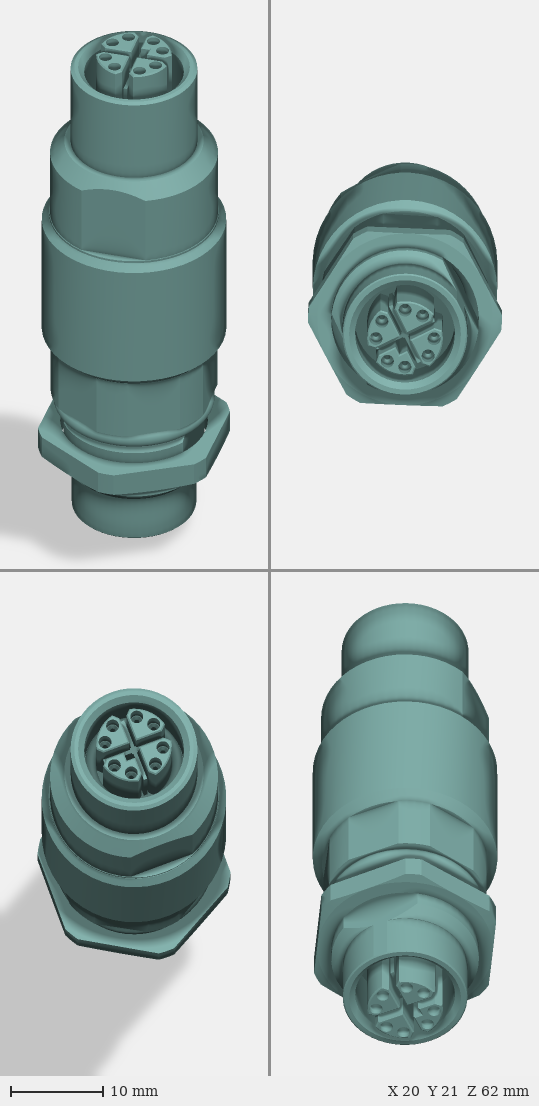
import cadquery as cq
import math

total_length = 61.99
lower_protrusion = 1.95
upper_protrusion = 1.71

upper_shell_radius = 6.87
upper_shell_base_z = 50.4
upper_shell_top_z = total_length - upper_protrusion
rim_chamfer_width = 0.4
rim_chamfer_height = 0.2

neck_radius = 9.1
collar_radius = 9.2
neck_chamfer = 1.55
wrench_flat_offset = 8.36
wrench_flat_bottom_z = 40.9

sleeve_radius = 10.0
sleeve_bottom_z = 24.4
sleeve_top_z = 40.65
sleeve_bottom_chamfer = 1.0
sleeve_top_chamfer = 0.75

hexagon_across_flats = 17.1
hexagon_corner_radius = 9.04
hexagon_bottom_z = 17.27

lower_shell_radius = 6.75
thread_radius = 8.0
thread_bottom_z = 8.52
thread_bottom_chamfer = 1.2
thread_top_z = 15.12
thread_top_chamfer = 0.8
lower_rim_chamfer = 0.15
keying_flat_offset = 6.7

socket_radius = 5.4
socket_depth = 7.0
socket_chamfer = 0.65

block_radius = 4.1
block_half_width = 2.1
block_gap = 0.8
block_chamfer = 0.15
key_notch_corner = 1.35
contact_radius = 0.3
contact_depth = 5.0
contact_mouth_radius = 0.7
contact_mouth_depth = 2.0
contact_cone_radius = 0.6
contact_near = 1.4
contact_far = 2.82
shield_thickness = 0.4
shield_reach = 3.5
shield_post = 0.7
shield_setback = 0.5

nut_across_flats = 19.0
nut_corner_radius = 10.5
nut_bottom_z = 10.2
nut_top_z = 13.0
nut_turn = -1.3
nut_chamfer_width = 1.0
nut_chamfer_height = 0.2

outer_ring_section = 1.0
inner_ring_section = 0.6


def cylinder(radius, bottom_z, top_z):
    return cq.Workplane("XY", origin=(0, 0, bottom_z)).circle(radius).extrude(top_z - bottom_z)


def cone(bottom_radius, top_radius, bottom_z, top_z):
    return (
        cq.Workplane("XY", origin=(0, 0, bottom_z))
        .circle(bottom_radius)
        .workplane(offset=top_z - bottom_z)
        .circle(top_radius)
        .loft()
    )


def hexagon(across_flats, corner_radius, bottom_z, top_z):
    """Hexagonal prism with flats facing +X and -X and its corners turned round."""
    prism = (
        cq.Workplane("XY", origin=(0, 0, bottom_z))
        .polygon(6, across_flats / math.cos(math.pi / 6))
        .extrude(top_z - bottom_z)
        .rotate((0, 0, 0), (0, 0, 1), 30)
    )
    return prism.intersect(cylinder(corner_radius, bottom_z, top_z))


def between_flats(offset, axis, bottom_z, top_z):
    """Slab that leaves two parallel flats at +/- offset along the named axis."""
    wide = 4 * sleeve_radius
    size = (2 * offset, wide) if axis == "X" else (wide, 2 * offset)
    return cq.Workplane("XY", origin=(0, 0, bottom_z)).rect(*size).extrude(top_z - bottom_z)


def upside_down(shape):
    """Turn a shape over about X, so that -Z becomes +Z."""
    return shape.rotate((0, 0, 0), (1, 0, 0), 180)


def sealing_ring(section_radius, centre_radius, centre_z):
    section = cq.Workplane("XZ").center(centre_radius, centre_z).circle(section_radius)
    return section.revolve(360, (-centre_radius, 0, 0), (-centre_radius, 1, 0))


def contact_block(base_z, top_z, keyed):
    """One insert block, in the +X +Y quadrant, with two contact holes in its top."""
    height = top_z - base_z
    plane = cq.Workplane("XY", origin=(0, 0, base_z))
    inner = block_gap / 2
    quadrant = plane.rect(block_radius, block_radius, centered=False).extrude(height)
    quadrant = quadrant.translate((inner, inner, 0))
    diagonal_band = (
        plane.rect(4 * block_radius, 2 * block_half_width)
        .extrude(height)
        .rotate((0, 0, 0), (0, 0, 1), 45)
    )
    block = cylinder(block_radius, base_z, top_z).intersect(quadrant).intersect(diagonal_band)
    if keyed:
        block = block.cut(plane.rect(2 * key_notch_corner, 2 * key_notch_corner).extrude(height))
    block = block.faces(">Z").chamfer(block_chamfer)
    hole = contact_hole(top_z)
    for x, y in [(contact_near, contact_far), (contact_far, contact_near)]:
        block = block.cut(hole.translate((x, y, 0)))
    return block


def contact_hole(top_z):
    """Round mouth whose floor funnels into a narrow blind hole."""
    funnel_z = top_z - contact_mouth_depth
    mouth = cylinder(contact_mouth_radius, funnel_z, top_z)
    bore = cylinder(contact_radius, top_z - contact_depth, funnel_z)
    funnel_height = contact_cone_radius - contact_radius
    funnel = cone(contact_radius, contact_cone_radius, funnel_z - funnel_height, funnel_z)
    return mouth.union(bore).union(funnel)


def shield(base_z, rim_z):
    """Cross-shaped plate with a square post at its centre, between the blocks."""
    plane = cq.Workplane("XY", origin=(0, 0, base_z))
    height = rim_z - shield_setback - base_z
    cross = plane.rect(shield_post, shield_post).extrude(height)
    cross = cross.union(plane.rect(2 * shield_reach, shield_thickness).extrude(height))
    return cross.union(plane.rect(shield_thickness, 2 * shield_reach).extrude(height))


def contact_insert(base_z, rim_z, top_z):
    """Shield and four blocks standing on a socket floor; the first block has the key notch."""
    pieces = [shield(base_z, rim_z)]
    for quarter in range(4):
        block = contact_block(base_z, top_z, keyed=quarter == 0)
        pieces.append(block.rotate((0, 0, 0), (0, 0, 1), 90 * quarter))
    return pieces


def socket(floor_z, rim_z):
    """Bore with a conical mouth, opening upwards."""
    mouth_radius = socket_radius + socket_chamfer
    mouth = cone(socket_radius, mouth_radius, rim_z - socket_chamfer, rim_z)
    return cylinder(socket_radius, floor_z, rim_z).union(mouth)


def threaded_section():
    """Lower shell, thread and the seat of the outer ring, with two keying flats."""
    section = cylinder(lower_shell_radius, lower_protrusion, hexagon_bottom_z)
    section = section.faces("<Z").chamfer(lower_rim_chamfer)
    thread = cylinder(thread_radius, thread_bottom_z - thread_bottom_chamfer, thread_top_z)
    thread = thread.faces("<Z").chamfer(thread_bottom_chamfer)
    thread = thread.faces(">Z").chamfer(thread_top_chamfer)
    flats = between_flats(keying_flat_offset, "X", 0, hexagon_bottom_z)
    return section.union(thread).intersect(flats)


def sleeve():
    body = cylinder(sleeve_radius, sleeve_bottom_z, sleeve_top_z)
    body = body.faces("<Z").chamfer(sleeve_bottom_chamfer)
    return body.faces(">Z").chamfer(sleeve_top_chamfer)


def neck():
    """Chamfered round section with two wrench flats above a thin round collar."""
    collar = cylinder(collar_radius, sleeve_top_z, wrench_flat_bottom_z)
    body = cylinder(neck_radius, wrench_flat_bottom_z, upper_shell_base_z)
    body = body.faces(">Z").chamfer(neck_chamfer)
    flats = between_flats(wrench_flat_offset, "Y", wrench_flat_bottom_z, upper_shell_base_z)
    return collar.union(body.intersect(flats))


def upper_shell():
    shell = cylinder(upper_shell_radius, upper_shell_base_z, upper_shell_top_z)
    return shell.faces(">Z").chamfer(rim_chamfer_height, rim_chamfer_width)


upper_floor_z = upper_shell_top_z - socket_depth
lower_floor_z = lower_protrusion + socket_depth

housing = (
    threaded_section()
    .union(hexagon(hexagon_across_flats, hexagon_corner_radius, hexagon_bottom_z, sleeve_bottom_z))
    .union(sleeve())
    .union(neck())
    .union(upper_shell())
    .cut(socket(upper_floor_z, upper_shell_top_z))
    .cut(upside_down(socket(-lower_floor_z, -lower_protrusion)))
)
for piece in contact_insert(upper_floor_z, upper_shell_top_z, total_length):
    housing = housing.union(piece)
for piece in contact_insert(-lower_floor_z, -lower_protrusion, 0):
    housing = housing.union(upside_down(piece))


def lock_nut():
    """Hexagonal nut on the thread, its lower corners turned off at a shallow angle."""
    nut = hexagon(nut_across_flats, nut_corner_radius, nut_bottom_z, nut_top_z)
    envelope = cylinder(nut_corner_radius, nut_bottom_z, nut_top_z)
    envelope = envelope.faces("<Z").chamfer(nut_chamfer_height, nut_chamfer_width)
    nut = nut.intersect(envelope).rotate((0, 0, 0), (0, 0, 1), nut_turn)
    return nut.cut(cylinder(thread_radius, nut_bottom_z, nut_top_z))


nut = lock_nut()

outer_ring = sealing_ring(
    outer_ring_section,
    lower_shell_radius + outer_ring_section,
    hexagon_bottom_z - outer_ring_section,
)
inner_ring = sealing_ring(
    inner_ring_section,
    block_radius + inner_ring_section,
    upper_floor_z + inner_ring_section,
)

result = cq.Compound.makeCompound(
    [housing.solids().val(), nut.solids().val(), outer_ring.val(), inner_ring.val()]
)